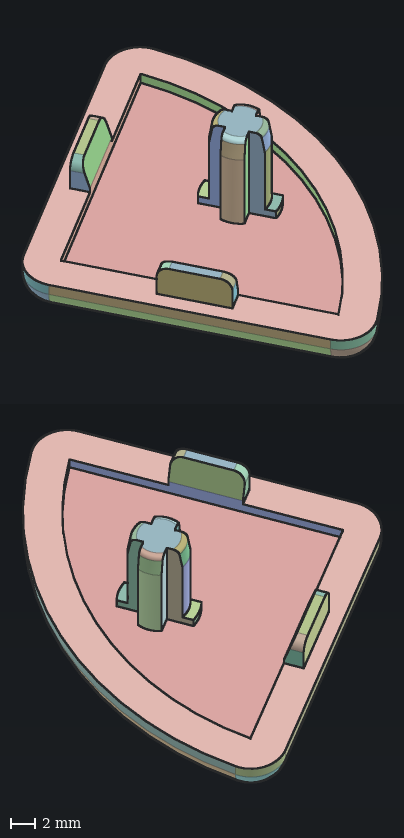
import cadquery as cq
import math

side = 30.0
plate_height = 3.0
corner_radius = 3.0
bottom_fillet = 1.95
corner_center = side - corner_radius
rim_radius = math.hypot(corner_radius, corner_center) + corner_radius

wall = 3.12
pocket_arc_radius = 26.93
pocket_depth = 1.0
floor_z = plate_height - pocket_depth

middle = side / 2
total_height = 11.0
stem_height = total_height - floor_z
stem_radius = 2.58
stem_tip_radius = 2.28
stem_taper_height = 1.95
stem_tip_fillet = 0.5
arm_width = 2.05
foot_radius = 3.48
foot_height = 0.75

tab_length = 6.45
tab_height = 3.0
tab_outer = 1.4
tab_top_thickness = 0.93
tab_straight_height = 0.42
tab_corner_radius = 1.05


def make_plate():
    diagonal = rim_radius * math.sqrt(0.5)
    blend_angle = math.atan(corner_radius / corner_center)
    near = rim_radius * math.sin(blend_angle)
    far = rim_radius * math.cos(blend_angle)
    mid_angle = (math.pi + math.pi / 2 - blend_angle) / 2
    mid_x = corner_radius + corner_radius * math.cos(mid_angle)
    mid_y = corner_center + corner_radius * math.sin(mid_angle)
    inner_mid = corner_radius - corner_radius * math.sqrt(0.5)
    return (
        cq.Workplane("XY")
        .moveTo(corner_radius, 0)
        .lineTo(corner_center, 0)
        .threePointArc((mid_y, mid_x), (far, near))
        .threePointArc((diagonal, diagonal), (near, far))
        .threePointArc((mid_x, mid_y), (0, corner_center))
        .lineTo(0, corner_radius)
        .threePointArc((inner_mid, inner_mid), (corner_radius, 0))
        .close()
        .extrude(plate_height)
        .faces("<Z")
        .edges()
        .fillet(bottom_fillet)
    )


def make_pocket():
    end = math.sqrt(pocket_arc_radius**2 - wall**2)
    diagonal = pocket_arc_radius * math.sqrt(0.5)
    return (
        cq.Workplane("XY", origin=(0, 0, floor_z))
        .moveTo(wall, wall)
        .lineTo(end, wall)
        .threePointArc((diagonal, diagonal), (wall, end))
        .close()
        .extrude(pocket_depth)
    )


def make_stem():
    base = cq.Workplane("XY", origin=(middle, middle, floor_z))
    envelope = (
        cq.Workplane("XZ")
        .polyline([
            (0, 0),
            (stem_radius, 0),
            (stem_radius, stem_height - stem_taper_height),
            (stem_tip_radius, stem_height),
            (0, stem_height),
        ])
        .close()
        .revolve(360, (0, 0), (0, 1))
        .faces(">Z")
        .edges()
        .fillet(stem_tip_fillet)
        .translate((middle, middle, floor_z))
    )
    arm_length = 2 * foot_radius
    arm_x = base.rect(arm_length, arm_width).extrude(stem_height)
    arm_y = base.rect(arm_width, arm_length).extrude(stem_height)
    foot = base.circle(foot_radius).extrude(foot_height).intersect(arm_x)
    return arm_x.union(arm_y).intersect(envelope).union(foot)


def make_tab():
    """Tab on the bottom side, upright outside and sloped towards the pocket."""
    top_z = plate_height + tab_height
    return (
        cq.Workplane("YZ", origin=(middle - tab_length / 2, 0, 0))
        .polyline([
            (tab_outer, floor_z),
            (wall, floor_z),
            (wall, plate_height + tab_straight_height),
            (tab_outer + tab_top_thickness, top_z),
            (tab_outer, top_z),
        ])
        .close()
        .extrude(tab_length)
        .faces(">Z")
        .edges("|Y")
        .fillet(tab_corner_radius)
    )


tab = make_tab()
side_tab = tab.rotate((0, 0, 0), (0, 0, 1), 90).mirror("YZ")
result = make_plate().cut(make_pocket()).union(make_stem()).union(tab).union(side_tab)